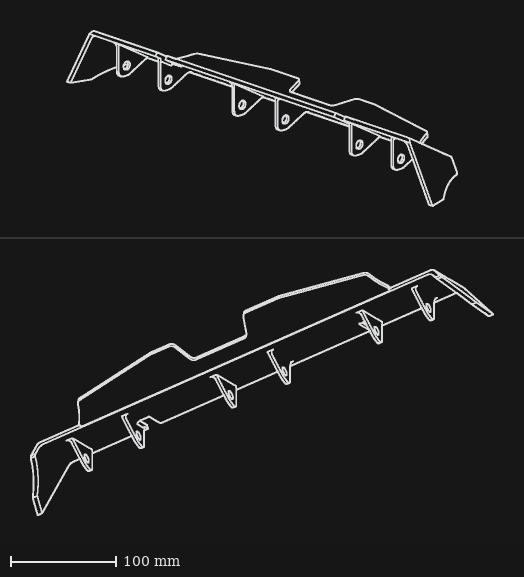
import cadquery as cq
import math

length = 500.0
height = 59.5
depth = 97.5
sheet = 4.25

deck_angle = 30.0
deck_rear = 57.5
top_half_length = 216.5
bend_radius = 4.5
inner_bend_radius = 7.5

slot_centre = 122.0
slot_width = 13.5
slot_depth = 25.0

flap_angle = 10.0
flap_bend_start = 55.5
flap_bend_radius = 7.5
flap_half_length = 169.5
flap_corner_radius = 5.0

tab_thickness = 3.0
tab_front = 7.0
tab_rear = 45.0
tab_bottom = 18.0
tab_corner_radius = 6.0
tab_hole_diameter = 8.5
tab_hole_y = 17.5
tab_hole_z = 28.0
weld_radius = 3.5
tabs = ((29.5, 1), (130.5, -1), (187.5, 1))

sin_deck = math.sin(math.radians(deck_angle))
cos_deck = math.cos(math.radians(deck_angle))
sin_flap = math.sin(math.radians(flap_angle))
cos_flap = math.cos(math.radians(flap_angle))

deck_front = sheet * sin_deck
front_edge_bottom = height - sheet * cos_deck


def deck_top(y):
    """Height of the deck's top face at depth y."""
    return height - (y - deck_front) * sin_deck / cos_deck


def deck_underside(y):
    """Height of the deck's lower face at depth y."""
    return deck_top(y) - sheet / cos_deck


def bend_lines(x):
    """Selector for the pair of long edges at distance x either side of the middle."""
    reach = 0.5
    far = length
    left = cq.selectors.BoxSelector((-x - reach, -far, -far), (-x + reach, far, far))
    right = cq.selectors.BoxSelector((x - reach, -far, -far), (x + reach, far, far))
    return left + right


def bent_sheet():
    """Sheet section across the fall line, run down the fall line past both ends."""
    overrun = 25.0
    run = overrun + (depth + overrun) / cos_deck
    wing_fall = deck_top(0) * cos_deck
    wing_run = length / 2 - top_half_length
    fall_line = cq.Plane(
        origin=(0, deck_front - overrun * cos_deck, height + overrun * sin_deck),
        xDir=(1, 0, 0),
        normal=(0, -cos_deck, sin_deck),
    )
    stretch = 1.2
    outer_end = (top_half_length + wing_run * stretch, -wing_fall * stretch)
    wing_length = math.hypot(wing_run, wing_fall)
    wing_tilt = math.atan2(wing_fall, wing_run)
    inner_corner = top_half_length - sheet * math.tan(wing_tilt / 2)
    inner_end = (
        outer_end[0] - sheet * wing_fall / wing_length,
        outer_end[1] - sheet * wing_run / wing_length,
    )
    right_side = [(top_half_length, 0), outer_end, inner_end, (inner_corner, -sheet)]
    left_side = [(-x, y) for x, y in reversed(right_side)]
    sharp = cq.Workplane(fall_line).polyline(right_side + left_side).close().extrude(-run)

    rounded = sharp.edges(bend_lines(top_half_length)).fillet(bend_radius)
    return rounded.edges(bend_lines(inner_corner)).fillet(inner_bend_radius)


def side_outline():
    """Side outline shared by the deck and wings, through the full length."""
    wing_rear_bottom = 13.5
    clipped_corner = (56.0, 12.0)
    curve_middle = (37.5, 9.0)
    curve_front = (27.5, 4.5)
    foot_length = 21.0
    return (
        cq.Workplane("YZ")
        .moveTo(0, 0)
        .lineTo(0, front_edge_bottom)
        .lineTo(deck_front, height)
        .lineTo(deck_rear, deck_top(deck_rear))
        .lineTo(deck_rear, wing_rear_bottom)
        .lineTo(*clipped_corner)
        .threePointArc(curve_middle, curve_front)
        .lineTo(foot_length, 0)
        .close()
        .extrude(length, both=True)
    )


def slot(x):
    """Cutter for a square slot let into the front edge of the deck."""
    plane = cq.Plane(origin=(x, deck_front, height), xDir=(1, 0, 0), normal=(0, sin_deck, cos_deck))
    return cq.Workplane(plane).rect(slot_width, 2 * slot_depth).extrude(2 * sheet, both=True)


def flap():
    """Plate bent up from the rear of the deck, with a notch between two lobes."""
    r_top = flap_bend_radius
    r_bottom = flap_bend_radius + sheet
    bend_y = flap_bend_start + r_top * sin_deck
    bend_z = deck_top(flap_bend_start) + r_top * cos_deck

    def on_bend(radius, sine, cosine):
        return (bend_y + radius * sine, bend_z - radius * cosine)

    top_end = on_bend(r_top, sin_flap, cos_flap)
    bottom_end = on_bend(r_bottom, sin_flap, cos_flap)
    flat_length = (depth - bottom_end[0]) / cos_flap
    rise = (flat_length * cos_flap, flat_length * sin_flap)

    section = (
        cq.Workplane("YZ")
        .moveTo(*on_bend(r_top, -sin_deck, cos_deck))
        .threePointArc(on_bend(r_top, 0, 1), top_end)
        .lineTo(top_end[0] + rise[0], top_end[1] + rise[1])
        .lineTo(bottom_end[0] + rise[0], bottom_end[1] + rise[1])
        .lineTo(*bottom_end)
        .threePointArc(on_bend(r_bottom, 0, 1), on_bend(r_bottom, -sin_deck, cos_deck))
        .close()
        .extrude(flap_half_length, both=True)
    )

    flap_plane = cq.Plane(
        origin=(0, *top_end), xDir=(1, 0, 0), normal=(0, -sin_flap, cos_flap)
    )
    root_y = -10.0
    waist = (163.5, 10.0)
    corner = (158.5, 22.5)
    shoulder_x = 70.5
    notch_y = 12.5
    notch_slant = 9.0
    notch_left = -22.0
    notch_right = 37.5
    plan = (
        cq.Workplane(flap_plane)
        .moveTo(-flap_half_length, root_y)
        .lineTo(flap_half_length, root_y)
        .lineTo(flap_half_length, 0)
        .threePointArc(waist, corner)
        .lineTo(shoulder_x, flat_length)
        .lineTo(notch_right + notch_slant, flat_length)
        .lineTo(notch_right, notch_y)
        .lineTo(notch_left, notch_y)
        .lineTo(notch_left - notch_slant, flat_length)
        .lineTo(-shoulder_x, flat_length)
        .lineTo(-corner[0], corner[1])
        .threePointArc((-waist[0], waist[1]), (-flap_half_length, 0))
        .close()
        .extrude(2 * sheet, both=True)
    )
    lobe_corners = cq.selectors.BoxSelector(
        (-waist[0], top_end[0] + notch_y / 2, 0), (waist[0], 2 * depth, height)
    )
    rounded_plan = plan.edges(lobe_corners).edges(cq.selectors.ParallelDirSelector(flap_plane.zDir))
    return section.intersect(rounded_plan.fillet(flap_corner_radius))


def tab(x):
    """Hanging ear with a pin hole, rounded below and sunk halfway into the deck."""
    rear_z = deck_underside(tab_rear)
    nose_radius = tab_hole_z - tab_bottom
    run = tab_rear - tab_hole_y
    rise = rear_z - tab_hole_z
    lean = math.atan2(rise, run) + math.asin(nose_radius / math.hypot(run, rise))

    def on_nose(angle):
        return (
            tab_hole_y + nose_radius * math.sin(angle),
            tab_hole_z - nose_radius * math.cos(angle),
        )

    sunk = sheet / 2
    return (
        cq.Workplane("YZ", origin=(x - tab_thickness / 2, 0, 0))
        .moveTo(tab_front, deck_underside(tab_front) + sunk)
        .lineTo(tab_front, tab_bottom + tab_corner_radius)
        .radiusArc((tab_front + tab_corner_radius, tab_bottom), -tab_corner_radius)
        .lineTo(*on_nose(0))
        .threePointArc(on_nose(lean / 2), on_nose(lean))
        .lineTo(tab_rear, rear_z)
        .lineTo(tab_rear, rear_z + sunk)
        .close()
        .moveTo(tab_hole_y, tab_hole_z)
        .circle(tab_hole_diameter / 2)
        .extrude(tab_thickness)
    )


def weld_line(x):
    """Selector for the edge where a tab face at x meets the deck's underside."""
    reach = 0.25
    middle_y = (tab_front + tab_rear) / 2
    middle_z = deck_underside(middle_y)
    return cq.selectors.BoxSelector(
        (x - reach, middle_y - reach, middle_z - reach),
        (x + reach, middle_y + reach, middle_z + reach),
    )


body = bent_sheet().intersect(side_outline())
body = body.union(flap())
for side in (-1, 1):
    for distance, weld_side in tabs:
        body = body.union(tab(side * distance))
        weld_x = side * (distance + weld_side * tab_thickness / 2)
        body = body.edges(weld_line(weld_x)).fillet(weld_radius)
    body = body.cut(slot(side * slot_centre))

result = body